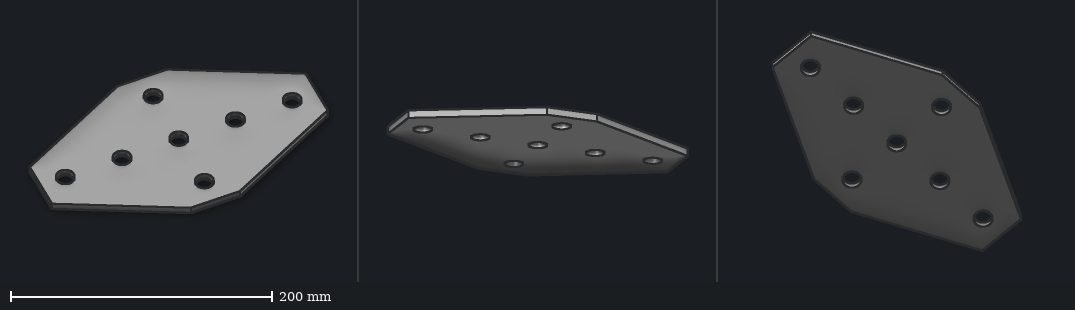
import cadquery as cq

length = 231.8
width = 136.5
thickness = 6.3
hole_diameter = 14.4

hole_pitch = (length - width) / 2
end_flat = width - 2 * hole_pitch

half_length = length / 2
half_width = width / 2
half_flat = end_flat / 2

outline = [
    (half_flat, half_length),
    (half_width, half_flat),
    (half_width, -half_flat),
    (half_flat, -half_length),
    (-half_flat, -half_length),
    (-half_width, -half_flat),
    (-half_width, half_flat),
    (-half_flat, half_length),
]
plate = cq.Workplane("XY").polyline(outline).close().extrude(thickness)

hole_centers = [(0, step * hole_pitch) for step in range(-2, 3)]
hole_centers += [(side * hole_pitch, 0) for side in (-1, 1)]
holes = cq.Workplane("XY").pushPoints(hole_centers).circle(hole_diameter / 2).extrude(thickness)

result = plate.cut(holes)